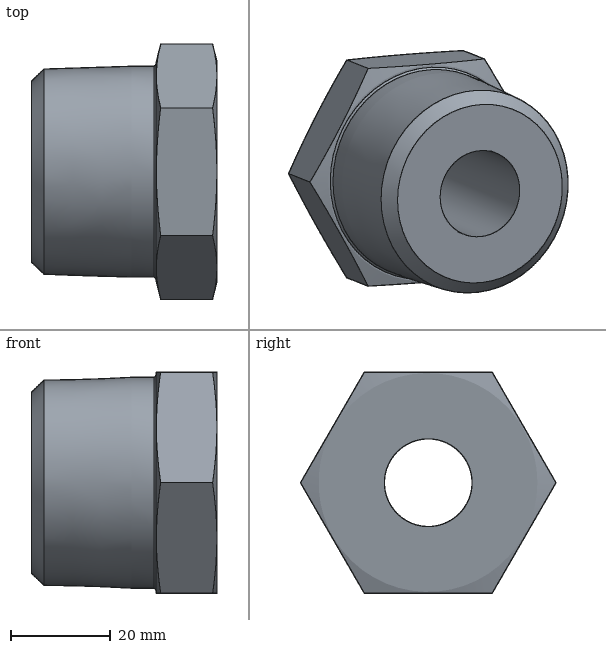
import cadquery as cq

total_length = 37.3
hex_across_corners = 51.35
hex_start = 25.05
hex_face_radius = 21.95
hex_chamfer_length = 0.9

nose_radius = 18.15
nose_length = 2.55
taper_end = 20.1
taper_start_radius = 20.65
shank_radius = 21.2
flare_start = 24.65
flare_radius = 21.6

bore_radius = 8.8


def revolve_about_x(points):
    """Turn an (axial position, radius) outline about the X axis."""
    outline = cq.Workplane("XY").polyline(points).close()
    return outline.revolve(360, (0, 0, 0), (1, 0, 0))


def make_shank():
    """Chamfered nose, tapered length, short cylinder and flare into the hexagon."""
    return revolve_about_x([
        (0, 0),
        (0, nose_radius),
        (nose_length, taper_start_radius),
        (taper_end, shank_radius),
        (flare_start, shank_radius),
        (hex_start, flare_radius),
        (hex_start, 0),
    ])


def make_hexagon():
    """Hexagon with corners on the Y axis and conical chamfers on both ends."""
    prism = (
        cq.Workplane("YZ", origin=(hex_start, 0, 0))
        .polygon(6, hex_across_corners)
        .extrude(total_length - hex_start)
    )
    corner_radius = hex_across_corners / 2
    chamfer_envelope = revolve_about_x([
        (hex_start, 0),
        (hex_start, hex_face_radius),
        (hex_start + hex_chamfer_length, corner_radius),
        (total_length - hex_chamfer_length, corner_radius),
        (total_length, hex_face_radius),
        (total_length, 0),
    ])
    return prism.intersect(chamfer_envelope)


bore = cq.Workplane("YZ").circle(bore_radius).extrude(total_length)

result = make_shank().union(make_hexagon()).cut(bore)